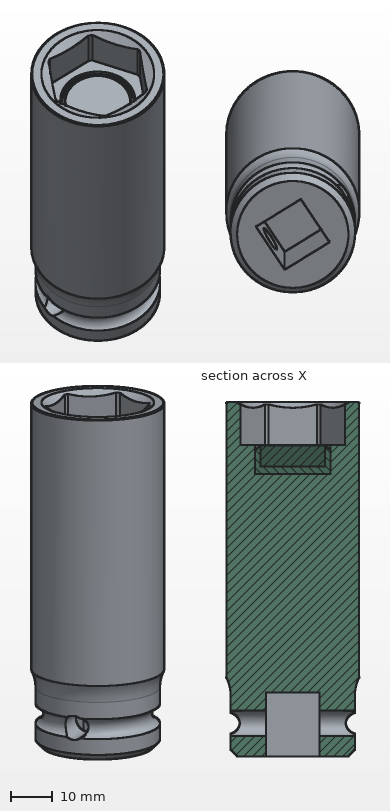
import cadquery as cq
import math

height = 85.0
barrel_radius = 16.0
collar_radius = 15.0
rim_chamfer = 0.25
base_chamfer = 1.6
neck_bottom = 14.6
neck_top = 18.95

groove_height = 8.0
groove_half_width = 2.5
groove_floor_radius = 13.1
cross_hole_diameter = 5.95

hex_across_flats = 22.1
hex_corner_radius = 12.5
hex_depth = 10.3
lead_in_radius = 13.5
lead_in_angle = 30.0

bore_radius = 9.0
insert_depth = 6.8
insert_recess = 0.1
cup_ledge_width = 0.3
cup_taper_width = 0.7
cup_taper_height = 0.85
magnet_radius = 7.7
magnet_thickness = 5.1

drive_width = 12.75
drive_depth = 15.3

hex_floor = height - hex_depth
insert_top = hex_floor - insert_recess
insert_bottom = insert_top - insert_depth


def cylinder(radius, bottom, top):
    return cq.Workplane("XY").workplane(offset=bottom).circle(radius).extrude(top - bottom)


def make_outer_shape():
    """Turned outside: base chamfer, groove, flared neck and barrel."""
    flare = barrel_radius - collar_radius
    neck_rise = neck_top - neck_bottom
    neck_arc_radius = (neck_rise**2 + flare**2) / (2 * flare)
    half_angle = math.asin(neck_rise / neck_arc_radius) / 2
    neck_middle = (
        collar_radius + neck_arc_radius * (1 - math.cos(half_angle)),
        neck_bottom + neck_arc_radius * math.sin(half_angle),
    )
    return (
        cq.Workplane("XZ")
        .lineTo(collar_radius - base_chamfer, 0)
        .lineTo(collar_radius, base_chamfer)
        .lineTo(collar_radius, groove_height - groove_half_width)
        .threePointArc(
            (groove_floor_radius, groove_height),
            (collar_radius, groove_height + groove_half_width),
        )
        .lineTo(collar_radius, neck_bottom)
        .threePointArc(neck_middle, (barrel_radius, neck_top))
        .lineTo(barrel_radius, height - rim_chamfer)
        .lineTo(barrel_radius - rim_chamfer, height)
        .lineTo(0, height)
        .close()
        .revolve(360, (0, 0), (0, 1))
    )


def make_hex_mouth():
    """Hexagon with corners on the Y axis, its corners trimmed by a cylinder."""
    across_corners = hex_across_flats / math.cos(math.radians(30))
    hexagon = (
        cq.Workplane("XY")
        .workplane(offset=hex_floor)
        .transformed(rotate=(0, 0, 90))
        .polygon(6, across_corners)
        .extrude(hex_depth)
    )
    return hexagon.intersect(cylinder(hex_corner_radius, hex_floor, height))


def make_lead_in():
    """Shallow cone that opens the mouth at the rim."""
    cone_depth = lead_in_radius * math.tan(math.radians(lead_in_angle))
    tip = cq.Vector(0, 0, height - cone_depth)
    return cq.Workplane(cq.Solid.makeCone(0, lead_in_radius, cone_depth, pnt=tip))


def make_bore():
    """Blind bore for the insert, below the hexagon floor."""
    return cylinder(bore_radius, insert_bottom, hex_floor)


def make_socket():
    drive = cq.Workplane("XY").rect(drive_width, drive_width).extrude(drive_depth)
    cross_hole = (
        cq.Workplane("XZ")
        .center(0, groove_height)
        .circle(cross_hole_diameter / 2)
        .extrude(barrel_radius, both=True)
    )
    return (
        make_outer_shape()
        .cut(make_hex_mouth())
        .cut(make_lead_in())
        .cut(make_bore())
        .cut(drive)
        .cut(cross_hole)
    )


def make_cup():
    """Cup that fills the bore: a narrow ledge, then a tapered rim flush with the magnet."""
    taper_radius = bore_radius - cup_ledge_width
    ledge_height = insert_top - cup_taper_height
    blank = (
        cq.Workplane("XZ")
        .moveTo(0, insert_bottom)
        .lineTo(bore_radius, insert_bottom)
        .lineTo(bore_radius, ledge_height)
        .lineTo(taper_radius, ledge_height)
        .lineTo(taper_radius - cup_taper_width, insert_top)
        .lineTo(0, insert_top)
        .close()
        .revolve(360, (0, 0), (0, 1))
    )
    return blank.cut(make_magnet())


def make_magnet():
    return cylinder(magnet_radius, insert_top - magnet_thickness, insert_top)


socket = make_socket()
cup = make_cup()
magnet = make_magnet()

result = cq.Compound.makeCompound([socket.val(), cup.val(), magnet.val()])